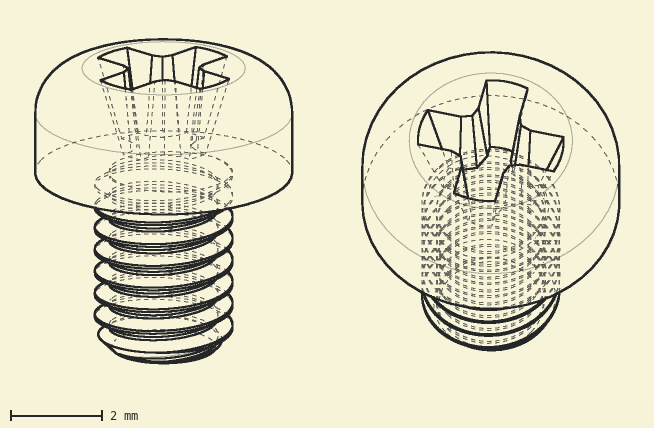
import cadquery as cq
import math

total_height = 6.4
head_diameter = 5.6
head_height = 2.4
head_round = 1.025
shank_length = total_height - head_height

thread_radius = 3.0 / 2
turns_on_shank = 8
pitch = shank_length / turns_on_shank
crest_flat = pitch / 8
thread_depth = 0.315
root_radius = thread_radius - thread_depth
flank_angle = math.radians(30)
first_crest_z = 0.41
end_radius = 1.13
overrun_turns = 2
trim_clearance = 0.13

recess_depth = 1.79
recess_mouth = (0.46, 1.59, 0.775, 0.545)
recess_floor = (0.26, 1.04, 0.76, 0.41)


def make_head():
    blank = cq.Workplane("XY").workplane(offset=shank_length).circle(head_diameter / 2).extrude(head_height)
    return blank.faces(">Z").edges().fillet(head_round)


def make_bevelled_rod(radius):
    """Shank-length rod whose lower end is cut by the shared 45 degree end cone."""
    rod = cq.Workplane("XY").circle(radius).extrude(shank_length)
    return rod.faces("<Z").edges().chamfer(radius - end_radius)


def make_thread_ridge():
    """Helical ridge of trapezoidal section, running past both ends of the shank."""
    crest_half = crest_flat / 2
    root_half = crest_half + thread_depth * math.tan(flank_angle)
    start_z = first_crest_z - overrun_turns * pitch
    ridge_rise = (turns_on_shank + 2 * overrun_turns) * pitch
    section = [
        (root_radius, start_z - root_half),
        (thread_radius, start_z - crest_half),
        (thread_radius, start_z + crest_half),
        (root_radius, start_z + root_half),
    ]
    helices = [cq.Wire.makeHelix(pitch, ridge_rise, radius, cq.Vector(0, 0, z)) for radius, z in section]
    faces = [cq.Face.makeRuledSurface(helices[i - 1], helices[i]) for i in range(len(helices))]
    start_outline = cq.Workplane("XZ").polyline(section).close().wire().val()
    end_outline = start_outline.translate(cq.Vector(0, 0, ridge_rise))
    faces += [cq.Face.makeFromWires(start_outline), cq.Face.makeFromWires(end_outline)]
    return cq.Workplane(cq.Solid.makeSolid(cq.Shell.makeShell(faces)))


def make_shank():
    trimmed_ridge = make_thread_ridge().intersect(make_bevelled_rod(thread_radius + trim_clearance))
    return make_bevelled_rod(root_radius).union(trimmed_ridge)


def recess_section(z, half_width, tip_radius, arm_root, corner):
    """Closed cross outline at height z, with rounded arm tips and bevelled inner corners."""
    tip_side = math.sqrt(tip_radius**2 - half_width**2)
    edges = []
    for arm in range(4):
        angle = math.radians(90 * arm)

        def turned(x, y):
            return cq.Vector(
                x * math.cos(angle) - y * math.sin(angle),
                x * math.sin(angle) + y * math.cos(angle),
                z,
            )

        right_tip = turned(tip_side, -half_width)
        left_tip = turned(tip_side, half_width)
        left_root = turned(arm_root, half_width)
        inner_corner = turned(corner, corner)
        next_root = turned(half_width, arm_root)
        next_tip = turned(half_width, tip_side)
        edges.append(cq.Edge.makeThreePointArc(right_tip, turned(tip_radius, 0), left_tip))
        edges.append(cq.Edge.makeLine(left_tip, left_root))
        edges.append(cq.Edge.makeLine(left_root, inner_corner))
        edges.append(cq.Edge.makeLine(inner_corner, next_root))
        edges.append(cq.Edge.makeLine(next_root, next_tip))
    return cq.Wire.assembleEdges(edges)


def make_recess():
    floor = recess_section(total_height - recess_depth, *recess_floor)
    mouth = recess_section(total_height, *recess_mouth)
    return cq.Workplane(cq.Solid.makeLoft([floor, mouth], True))


result = make_head().cut(make_recess()).union(make_shank())